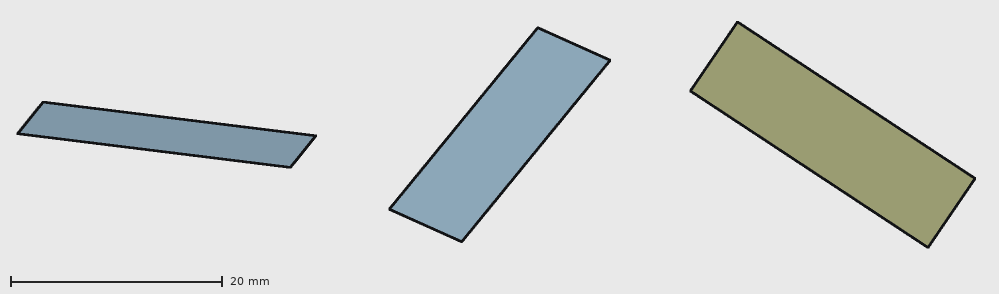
import cadquery as cq

length = 27.0
width = 8.0
thickness = 0.05

result = cq.Workplane("XY").box(length, width, thickness)